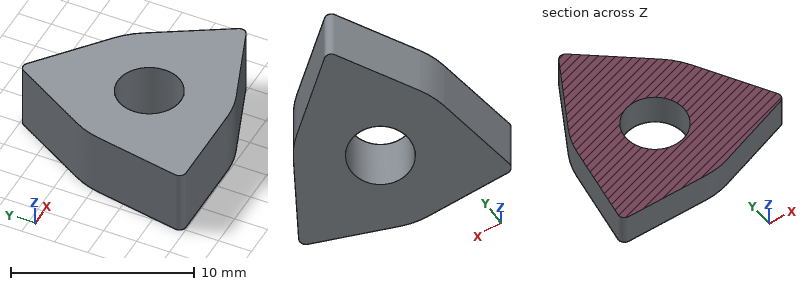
import cadquery as cq
import math

inscribed_diameter = 9.525
thickness = 3.97
hole_diameter = 3.81
nose_radius = 0.4
corner_angle = 80.0
corner_count = 3
first_corner_direction = 220.0

inscribed_radius = inscribed_diameter / 2
corner_pitch = 360.0 / corner_count

normal_offset = 90.0 - corner_angle / 2

nose_center_distance = (inscribed_radius - nose_radius) / math.sin(math.radians(corner_angle / 2))


def polar(radius, direction, center=(0.0, 0.0)):
    """Point at a radius and direction (degrees) from a centre."""
    angle = math.radians(direction)
    return (center[0] + radius * math.cos(angle), center[1] + radius * math.sin(angle))


def make_outline():
    """Closed outline of nose arcs, straight edges and arcs on the inscribed circle."""
    start_direction = first_corner_direction - normal_offset
    outline = cq.Workplane("XY").moveTo(*polar(inscribed_radius, start_direction))
    for index in range(corner_count):
        corner_direction = first_corner_direction + index * corner_pitch
        nose_center = polar(nose_center_distance, corner_direction)
        edge_in_normal = corner_direction - normal_offset
        edge_out_normal = corner_direction + normal_offset
        next_edge_normal = edge_in_normal + corner_pitch
        side_direction = (edge_out_normal + next_edge_normal) / 2

        outline = outline.lineTo(*polar(nose_radius, edge_in_normal, nose_center))
        outline = outline.threePointArc(
            polar(nose_radius, corner_direction, nose_center),
            polar(nose_radius, edge_out_normal, nose_center),
        )
        outline = outline.lineTo(*polar(inscribed_radius, edge_out_normal))

        outline = outline.threePointArc(
            polar(inscribed_radius, side_direction),
            polar(inscribed_radius, next_edge_normal),
        )
    return outline.close()


def cut_center_hole(body):
    """Plain clamping hole through the full thickness."""
    return body.faces(">Z").workplane(origin=(0, 0, thickness)).hole(hole_diameter)


insert_body = make_outline().extrude(thickness)
result = cut_center_hole(insert_body)